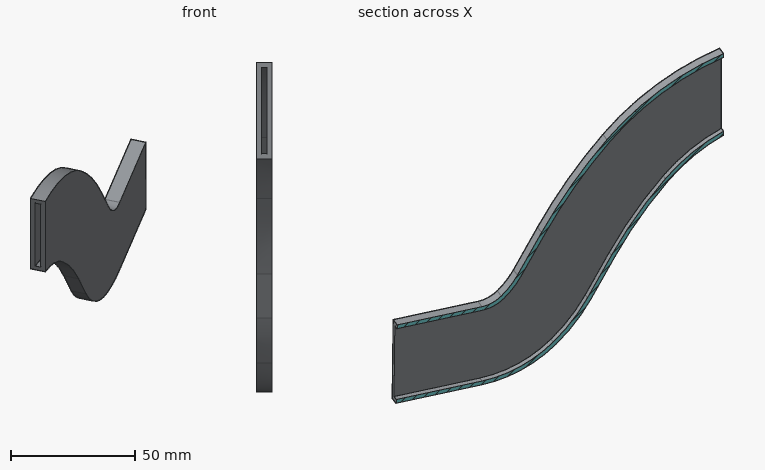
import cadquery as cq
import math

length = 142.4
thickness = 6.3
depth = 37.3
wall = 2.0
low_end_setback = 0.4

centre_height = depth / 2
bend_start_y = 105.0
slope_run = 20.6

rising_bends = [(31.7, 39.8), (50.4, 19.7)]
levelling_bends = [(181.2, -13.5), (85.4, -44.0)]


def step(point, angle, distance):
    """Point reached by moving toward -Y, climbing at the given angle in degrees."""
    heading = math.radians(angle)
    return (point[0] - distance * math.cos(heading), point[1] + distance * math.sin(heading))


def add_bend(path, point, angle, radius, turn):
    """Add a tangent arc and return the path with its new end point and angle."""
    half_turn = turn / 2
    chord = 2 * radius * math.sin(math.radians(abs(half_turn)))
    half_chord = 2 * radius * math.sin(math.radians(abs(half_turn) / 2))
    middle = step(point, angle + half_turn / 2, half_chord)
    end = step(point, angle + half_turn, chord)
    return path.threePointArc(middle, end), end, angle + turn


def centreline():
    """Straight low run, rising bends, straight slope, then levelling bends."""
    point = (bend_start_y, centre_height)
    angle = 0
    path = cq.Workplane("YZ").moveTo(length, centre_height).lineTo(*point)
    for radius, turn in rising_bends:
        path, point, angle = add_bend(path, point, angle, radius, turn)
    point = step(point, angle, slope_run)
    path = path.lineTo(*point)
    for radius, turn in levelling_bends:
        path, point, angle = add_bend(path, point, angle, radius, turn)
    return path


def swept_bar(width, height):
    """Rectangular bar following the centreline."""
    return (
        cq.Workplane("XZ", origin=(0, length, centre_height))
        .rect(width, height)
        .sweep(centreline())
    )


def end_trim():
    """Block with a vertical face at the mouth and a slightly leaning low end."""
    top = 2 * length
    low_end_lean = low_end_setback / depth
    outline = [(0, 0), (length, 0), (length - low_end_lean * top, top), (0, top)]
    return cq.Workplane("YZ").polyline(outline).close().extrude(thickness, both=True)


outer = swept_bar(thickness, depth)
passage = swept_bar(thickness - 2 * wall, depth - 2 * wall)
result = outer.cut(passage).intersect(end_trim())